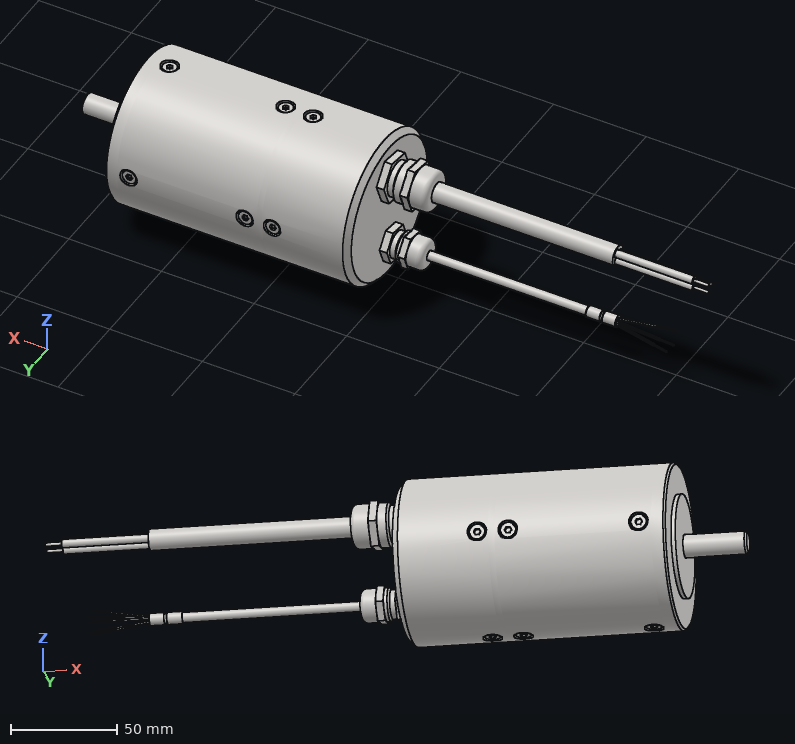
import cadquery as cq
import math


body_dia = 80.0
body_length = 131.5
rear_chamfer = 3.0
front_chamfer = 1.0
ring_start = 46.5
ring_end = 49.5
front_cap_start = 124.7
pilot_dia = 49.5
pilot_length = 2.0

shaft_dia = 11.0
shaft_chamfer = 1.0
shaft_end = 163.8

screw_stations = (41.0, 56.0, 118.5)
screws_per_station = 4
screw_hole_dia = 9.0
screw_hole_depth = 2.7
screw_head_dia = 7.5
screw_head_drop = 0.7
socket_dia = 3.5
socket_depth = 1.5

cable_offset = 20.0
gland_hex_turn = 8
gland_flange_start = -4.0
gland_head_end = -7.0
gland_head_taper = 1.0
gland_head_round = 2.7
embed = 1.0

power_jacket_dia = 10.5
power_jacket_end = -123.5
power_core_dia = 4.0
power_core_end = -165.0
power_conductor_dia = 1.8
power_tip = -173.2
power_core_count = 3
power_core_ring = 2.5

signal_cable_dia = 5.0
sleeve_dia = 6.0
sleeve_spans = ((-123.5, -116.3), (-115.0, -107.5))
signal_wire_count = 5
signal_wire_turn = 8
signal_wire_dia = 1.0
signal_conductor_dia = 0.5
signal_strip_length = 7.5
signal_fan_length = 28.5
signal_ring_start = 1.5
signal_ring_tip = 6.0


def cylinder(x_start, x_end, diameter, y=0, z=0):
    """Cylinder along X between two stations."""
    start = cq.Vector(x_start, y, z)
    solid = cq.Solid.makeCylinder(diameter / 2, x_end - x_start, start, cq.Vector(1, 0, 0))
    return cq.Workplane(solid)


def turned(profile, z=0):
    """Revolve (x, radius) points about an axis parallel to X at height z."""
    points = [(profile[0][0], 0)] + profile + [(profile[-1][0], 0)]
    solid = cq.Workplane("XY").polyline(points).close().revolve(360, (0, 0), (1, 0), clean=False)
    return solid.translate((0, 0, z))


def hex_collar(x_start, x_end, flats, z):
    """Hexagonal collar along X, turned a little about its own axis."""
    corners = flats / math.cos(math.pi / 6)
    collar = cq.Workplane("YZ").polygon(6, corners).extrude(x_end - x_start)
    return collar.rotate((0, 0, 0), (1, 0, 0), gland_hex_turn).translate((x_start, 0, z))


def join(base, parts):
    """Fuse parts to the base, keeping the seams between housing sections."""
    for part in parts:
        base = base.union(part, clean=False)
    return base


def motor():
    """Housing sections, pilot and shaft turned as one profile."""
    body_radius = body_dia / 2
    shaft_radius = shaft_dia / 2
    pilot_end = body_length + pilot_length
    return turned([
        (0, body_radius - rear_chamfer),
        (rear_chamfer, body_radius),
        (ring_start, body_radius),
        (ring_end, body_radius),
        (front_cap_start, body_radius),
        (body_length - front_chamfer, body_radius),
        (body_length, body_radius - front_chamfer),
        (body_length, pilot_dia / 2),
        (pilot_end, pilot_dia / 2),
        (pilot_end, shaft_radius),
        (shaft_end - shaft_chamfer, shaft_radius),
        (shaft_end, shaft_radius - shaft_chamfer),
    ])


def with_screws(housing):
    """Sink the counterbored socket screws into the housing wall."""
    hole_floor = body_dia / 2 - screw_hole_depth
    head_height = screw_hole_depth - screw_head_drop
    seat = cq.Workplane("XY", origin=(0, 0, hole_floor))
    hole = seat.circle(screw_hole_dia / 2).extrude(2 * screw_hole_depth)
    head = seat.circle(screw_head_dia / 2).extrude(head_height)
    head = head.faces(">Z").workplane().polygon(6, socket_dia).cutBlind(-socket_depth)
    pocket = hole.cut(head)
    for station in screw_stations:
        for index in range(screws_per_station):
            angle = 360 / screws_per_station * index
            cutter = pocket.translate((station, 0, 0)).rotate((0, 0, 0), (1, 0, 0), angle)
            housing = housing.cut(cutter, clean=False)
    return housing


def gland(z, length, head_dia, hex_flats, neck_dia, rib_span):
    """Cable gland: rounded head with a hexagonal rib, a neck and a hexagonal flange."""
    head_radius = head_dia / 2
    body = turned([
        (-length, head_radius),
        (gland_head_end - gland_head_taper, head_radius),
        (gland_head_end, neck_dia / 2),
        (embed, neck_dia / 2),
    ], z)
    body = body.faces("<X").edges().fillet(gland_head_round)
    rib = hex_collar(rib_span[0], rib_span[1], hex_flats, z)
    flange = hex_collar(gland_flange_start, embed, hex_flats, z)
    return join(body, [rib, flange])


def power_cable():
    """Jacket with its cores and their bare ends."""
    z = cable_offset
    parts = []
    for index in range(power_core_count):
        angle = math.radians(180 + 360 / power_core_count * index)
        y = power_core_ring * math.cos(angle)
        core_z = z + power_core_ring * math.sin(angle)
        parts.append(cylinder(power_core_end, power_jacket_end + embed, power_core_dia, y, core_z))
        parts.append(cylinder(power_tip, power_core_end + embed, power_conductor_dia, y, core_z))
    return join(cylinder(power_jacket_end, 0, power_jacket_dia, 0, z), parts)


def signal_wire(angle):
    """One straight wire of the fan with its stripped end."""
    x_start = sleeve_spans[0][0] + embed
    y_share = math.cos(angle)
    z_share = math.sin(angle)
    start = cq.Vector(x_start, signal_ring_start * y_share, signal_ring_start * z_share - cable_offset)
    spread = signal_ring_tip - signal_ring_start
    path = cq.Vector(-signal_fan_length - embed, spread * y_share, spread * z_share)
    covered = path.Length - signal_strip_length
    wire = cq.Solid.makeCylinder(signal_wire_dia / 2, covered, start, path)
    conductor = cq.Solid.makeCylinder(signal_conductor_dia / 2, path.Length, start, path)
    return cq.Workplane(wire).union(cq.Workplane(conductor))


def signal_cable():
    """Thin cable with two sleeves and the wire fan."""
    z = -cable_offset
    parts = [cylinder(start, end, sleeve_dia, 0, z) for start, end in sleeve_spans]
    for index in range(signal_wire_count):
        angle = 90 + signal_wire_turn + 360 / signal_wire_count * index
        parts.append(signal_wire(math.radians(angle)))
    return join(cylinder(sleeve_spans[0][0], 0, signal_cable_dia, 0, z), parts)


power_gland = gland(
    z=cable_offset,
    length=25.5,
    head_dia=21.5,
    hex_flats=22.0,
    neck_dia=18.5,
    rib_span=(-16.5, -12.5),
)
signal_gland = gland(
    z=-cable_offset,
    length=21.5,
    head_dia=16.5,
    hex_flats=17.0,
    neck_dia=14.0,
    rib_span=(-13.5, -9.8),
)
result = join(with_screws(motor()), [power_gland, signal_gland, power_cable(), signal_cable()])